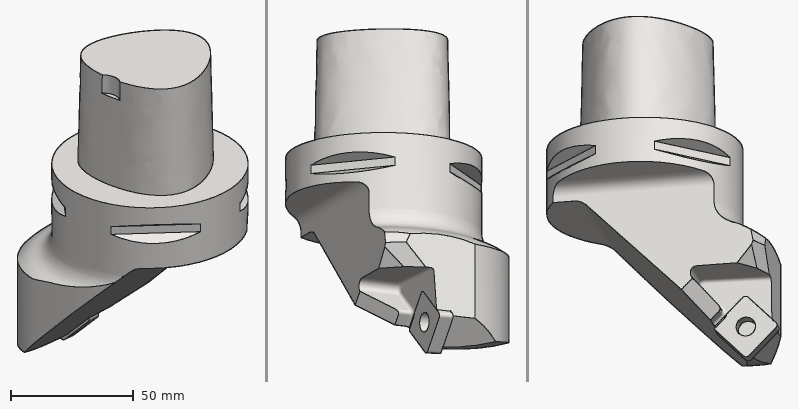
import cadquery as cq
import math

EXTENT = 200.0

shank_height = 48.0
shank_mean_radius = 27.5
shank_lobe = 2.1
shank_curve_points = 24
shank_taper = 1.15
key_radius = 7.0
key_depth = 8.3
key_floor_y = -22.2

flange_radius = 40.0
neck_z = -32.2
groove_z = -12.0
groove_floor_radius = 35.6
groove_floor_height = 3.5
groove_flank_angle = 30.0

concave_radius = 10.0
concave_turn = 70.0
convex_radius = 24.0
convex_reach = 14.0

side_x = -52.95
front_y = 21.8
rear_y = -45.2
corner_bevel_y = 7.8
corner_bevel_normal = (-25.7, 10.6, 5.1)
side_end_y = -16.8
side_arc_middle = (-41.3, -34.5)
side_arc_end = (-27.8, -43.4)
rear_corner_middle = (-24.2, -44.7)
rear_flat_start_x = -20.0
rear_flat_end_x = -13.9
rear_arc_radius = 57.5
head_right_x = 17.5

back_offset = -49.4
step_z = -27.6
step_fillet = 7.5
front_step_z = -19.0
front_step_slope = 5.5
front_step_fillet = 5.0
belly_z = -89.6
belly_radius = 105.0
nose_sum = -131.7

insert_size = 19.05
insert_thickness = 6.35
insert_corner_radius = 1.6
insert_hole_diameter = 7.92
insert_center_x = -42.19
insert_center_z = -79.67
insert_tilt = 6.0

pocket_roof_z = -59.5
pocket_floor_offset = -40.0
pocket_fillet = 2.9
rake_fillet = 1.5
web_end_rounding = 1.5
web_end_sum = -107.5
web_slant_start_y = 8.2
web_slant_normal = (-73.0, 98.0, -73.0)
bevel_top_z = -50.0
roof_bevel_normal = (-74.0, 29.5, -27.0)
bevel_corner = (side_x, front_y - corner_bevel_y, bevel_top_z)
inner_bevel_point = (-49.1, front_y, -52.0)
inner_bevel_normal = (-1.0, 0.8, -0.8)


def shank_section(radius, z):
    """Closed three-lobed curve with one lobe toward +Y."""
    def point(angle):
        x = -radius * math.sin(angle) + shank_lobe * math.sin(2 * angle)
        y = radius * math.cos(angle) + shank_lobe * math.cos(2 * angle)
        return (x, y, z)

    points = [point(2 * math.pi * i / shank_curve_points) for i in range(shank_curve_points)]
    return cq.Wire.assembleEdges([cq.Edge.makeSpline([cq.Vector(*p) for p in points], periodic=True)])


def make_shank():
    root = shank_section(shank_mean_radius, 0)
    end = shank_section(shank_mean_radius - shank_taper, shank_height)
    shank = cq.Workplane(cq.Solid.makeLoft([root, end], True))
    key = (
        cq.Workplane("XY", origin=(0, key_floor_y - key_radius, shank_height))
        .circle(key_radius)
        .extrude(-key_depth)
    )
    return shank.cut(key)


def make_groove(angle):
    """Trapezoidal groove cut straight across the flange edge."""
    depth = flange_radius - groove_floor_radius
    half_floor = groove_floor_height / 2
    half_mouth = half_floor + depth * math.tan(math.radians(groove_flank_angle))
    return (
        cq.Workplane("XZ")
        .moveTo(groove_floor_radius, groove_z - half_floor)
        .lineTo(flange_radius, groove_z - half_mouth)
        .lineTo(flange_radius, groove_z + half_mouth)
        .lineTo(groove_floor_radius, groove_z + half_floor)
        .close()
        .extrude(flange_radius, both=True)
        .rotate((0, 0, 0), (0, 0, 1), angle)
    )


def make_flange():
    flange = cq.Workplane("XY").circle(flange_radius).extrude(neck_z)
    for angle in range(45, 360, 90):
        flange = flange.cut(make_groove(angle))
    return flange


def make_flare():
    """Solid of revolution that limits the top of the head."""
    def concave(degrees):
        a = math.radians(degrees)
        r = flange_radius + concave_radius * (1 - math.cos(a))
        return (r, neck_z - concave_radius * math.sin(a))

    def convex(reach):
        start_sine = math.cos(math.radians(concave_turn))
        a = math.asin(start_sine + reach / convex_radius)
        drop = convex_radius * (math.sin(math.radians(concave_turn)) - math.cos(a))
        r, z = concave(concave_turn)
        return (r + reach, z - drop)

    rim = convex(convex_reach)
    return (
        cq.Workplane("XZ")
        .moveTo(0, neck_z)
        .lineTo(flange_radius, neck_z)
        .threePointArc(concave(concave_turn / 2), concave(concave_turn))
        .threePointArc(convex(convex_reach / 2), rim)
        .lineTo(rim[0], -EXTENT)
        .lineTo(0, -EXTENT)
        .close()
        .revolve(360, (0, 0, 0), (0, 1, 0))
    )


def make_head_outline():
    """Plan outline of the head as a tall prism."""
    def rear_arc(x):
        dx = x - rear_flat_end_x
        return (x, rear_y + rear_arc_radius - math.sqrt(rear_arc_radius**2 - dx**2))

    return (
        cq.Workplane("XY", origin=(0, 0, neck_z))
        .moveTo(side_x, front_y)
        .lineTo(side_x, side_end_y)
        .threePointArc(side_arc_middle, side_arc_end)
        .threePointArc(rear_corner_middle, (rear_flat_start_x, rear_y))
        .lineTo(rear_flat_end_x, rear_y)
        .threePointArc(rear_arc((rear_flat_end_x + head_right_x) / 2), rear_arc(head_right_x))
        .lineTo(head_right_x, front_y)
        .close()
        .extrude(-EXTENT)
    )


def make_back_cut():
    """45 degree relief behind the head, rounded into the step under the flange."""
    return (
        cq.Workplane("XZ")
        .moveTo(EXTENT, step_z)
        .lineTo(step_z - back_offset, step_z)
        .lineTo(-EXTENT - back_offset, -EXTENT)
        .lineTo(EXTENT, -EXTENT)
        .close()
        .extrude(EXTENT, both=True)
        .edges(cq.selectors.NearestToPointSelector((step_z - back_offset, 0, step_z)))
        .fillet(step_fillet)
    )


def make_front_cut():
    """Flat front face of the head, rounded into the sloped step under the flange."""
    corner_z = front_step_z - (flange_radius - front_y) * math.tan(math.radians(front_step_slope))
    return (
        cq.Workplane("YZ")
        .moveTo(flange_radius, front_step_z)
        .lineTo(front_y, corner_z)
        .lineTo(front_y, -EXTENT)
        .lineTo(flange_radius, -EXTENT)
        .close()
        .extrude(EXTENT, both=True)
        .edges(cq.selectors.NearestToPointSelector((0, front_y, corner_z)))
        .fillet(front_step_fillet)
    )


def make_nose_cut():
    """Clearance below the cutting edge."""
    return (
        cq.Workplane("XZ")
        .moveTo(-EXTENT, nose_sum + EXTENT)
        .lineTo(nose_sum + EXTENT, -EXTENT)
        .lineTo(-EXTENT, -EXTENT)
        .close()
        .extrude(EXTENT, both=True)
    )


def make_belly():
    """Cylinder along X whose lower side is the rounded underside of the head."""
    return (
        cq.Workplane("YZ", origin=(0, 0, belly_z + belly_radius))
        .circle(belly_radius)
        .extrude(EXTENT, both=True)
    )


insert_center = (insert_center_x, 0, insert_center_z)
edge_sum = insert_center_x + insert_center_z - insert_size / math.sqrt(2)
edge_point = cq.Vector(edge_sum / 2, 0, edge_sum / 2)
edge_direction = cq.Vector(1, 0, -1)


def tilt(shape):
    """Turn about the cutting edge so that the rake face rises away from it."""
    return shape.rotate(edge_point.toTuple(), (edge_point + edge_direction).toTuple(), -insert_tilt)


def make_insert_blank():
    """Square insert without its hole, also the shape of its seat."""
    blank = (
        cq.Workplane("XZ", origin=insert_center)
        .transformed(rotate=(0, 0, 45))
        .rect(insert_size, insert_size)
        .extrude(insert_thickness)
        .edges("|Y")
        .fillet(insert_corner_radius)
    )
    return tilt(blank)


def make_insert():
    hole_radius = insert_hole_diameter / 2
    hole = cq.Workplane("XZ", origin=insert_center).circle(hole_radius).extrude(insert_thickness)
    return make_insert_blank().cut(tilt(hole))


def half_space(point, normal):
    """Large block on the outer side of a plane."""
    plane = cq.Plane(origin=point, normal=normal)
    return cq.Workplane(plane).rect(2 * EXTENT, 2 * EXTENT).extrude(EXTENT)


def make_web_slant():
    """Space beyond the web's slanted end, which draws back toward the front face."""
    start_x = (web_end_sum - back_offset) / 2
    start = (start_x, web_slant_start_y, start_x + back_offset)
    beyond = half_space(start, web_slant_normal)
    return beyond.cut(half_space((0, 0, pocket_roof_z), (0, 0, 1)))


def make_roof_bevels():
    """Two slanted lead-in faces above the pocket roof."""
    outer = half_space(bevel_corner, roof_bevel_normal)
    return outer.union(half_space(inner_bevel_point, inner_bevel_normal))


def make_pocket():
    """Chip space above the rake plane, leaving a web along the back plane."""
    roof_corner_x = pocket_roof_z - pocket_floor_offset
    floor_end_x = (web_end_sum - pocket_floor_offset) / 2
    pocket = (
        cq.Workplane("XZ", origin=(0, EXTENT, 0))
        .moveTo(-EXTENT, pocket_roof_z)
        .lineTo(roof_corner_x, pocket_roof_z)
        .lineTo(floor_end_x, web_end_sum - floor_end_x)
        .lineTo(web_end_sum + EXTENT, -EXTENT)
        .lineTo(-EXTENT, -EXTENT)
        .close()
        .extrude(2 * EXTENT)
        .edges(cq.selectors.NearestToPointSelector((roof_corner_x, 0, pocket_roof_z)))
        .fillet(pocket_fillet)
        .edges(cq.selectors.NearestToPointSelector((floor_end_x, 0, web_end_sum - floor_end_x)))
        .fillet(web_end_rounding)
    )
    above_rake = tilt(
        cq.Workplane("XY", origin=edge_point.toTuple())
        .box(2 * EXTENT, EXTENT, 2 * EXTENT, centered=(True, False, True))
    )
    floor_middle = (roof_corner_x + floor_end_x) / 2
    edge_distance = (2 * floor_middle + pocket_floor_offset - edge_sum) / math.sqrt(2)
    rake_y = edge_distance * math.tan(math.radians(insert_tilt))
    rake_edge = (floor_middle, rake_y, floor_middle + pocket_floor_offset)
    entries = make_web_slant().union(make_roof_bevels()).intersect(above_rake)
    return (
        pocket.intersect(above_rake)
        .edges(cq.selectors.NearestToPointSelector(rake_edge))
        .fillet(rake_fillet)
        .union(entries)
    )


def make_holder():
    head = make_flare().intersect(make_head_outline()).intersect(make_belly())
    head = head.cut(make_nose_cut())
    holder = head.union(make_flange()).cut(make_back_cut()).cut(make_front_cut())
    holder = holder.cut(half_space(bevel_corner, corner_bevel_normal))
    holder = holder.cut(make_pocket()).cut(make_insert_blank())
    return holder.union(make_shank())


holder = make_holder()
insert = make_insert()

result = cq.Compound.makeCompound([holder.solids().val(), insert.solids().val()])